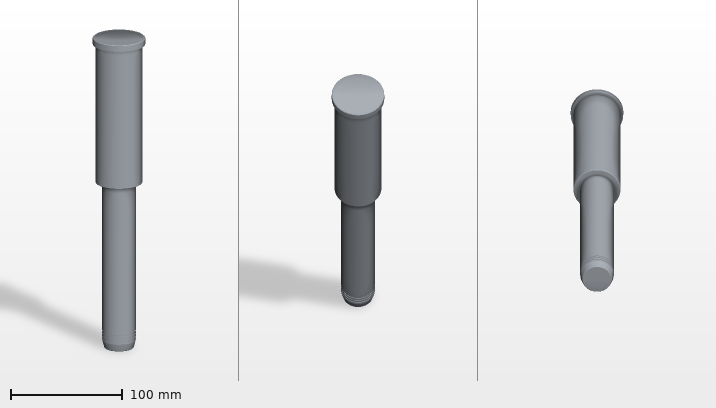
import math

import cadquery as cq

total_length = 291.0
head_thickness = 6.0
body_length = 130.0
nose_length = 7.0

head_diameter = 47.0
body_diameter = 42.0
shaft_diameter = 30.0

nose_half_angle = 15.0

edge_chamfer = 0.5

relief_width = 1.0
relief_depth = 0.25

ring_groove_count = 3
ring_groove_width = 1.0
ring_groove_depth = 0.5
ring_groove_pitch = 3.0
nose_to_first_groove = 2.0

head_radius = head_diameter / 2
body_radius = body_diameter / 2
shaft_radius = shaft_diameter / 2
cone_slope = math.tan(math.radians(nose_half_angle))
head_base = total_length - head_thickness
body_base = head_base - body_length
first_groove_base = nose_length + nose_to_first_groove


def cylinder(radius, base, height):
    return cq.Workplane("XY").workplane(offset=base).circle(radius).extrude(height)


def cut_groove(part, radius, base, width, depth):
    """Turn a square groove into the cylinder of the given radius."""
    ring = (
        cq.Workplane("XY")
        .workplane(offset=base)
        .circle(radius)
        .circle(radius - depth)
        .extrude(width)
    )
    return part.cut(ring)


def make_head():
    head = cylinder(head_radius, head_base, head_thickness)
    return head.faces(">Z").edges().chamfer(edge_chamfer)


def make_body():
    body = cylinder(body_radius, body_base, body_length)
    body = body.faces("<Z").edges().chamfer(edge_chamfer)
    return cut_groove(body, body_radius, head_base - relief_width, relief_width, relief_depth)


def make_shaft():
    """Shaft with a conical nose, turned from its half section."""
    chamfer_radius = shaft_radius - (nose_length - edge_chamfer) * cone_slope
    shaft = (
        cq.Workplane("XZ")
        .lineTo(chamfer_radius - edge_chamfer, 0)
        .lineTo(chamfer_radius, edge_chamfer)
        .lineTo(shaft_radius, nose_length)
        .lineTo(shaft_radius, body_base)
        .lineTo(0, body_base)
        .close()
        .revolve(360, (0, 0, 0), (0, 1, 0))
    )
    for index in range(ring_groove_count):
        groove_base = first_groove_base + index * ring_groove_pitch
        shaft = cut_groove(shaft, shaft_radius, groove_base, ring_groove_width, ring_groove_depth)
    return cut_groove(shaft, shaft_radius, body_base - relief_width, relief_width, relief_depth)


result = make_shaft().union(make_body()).union(make_head())